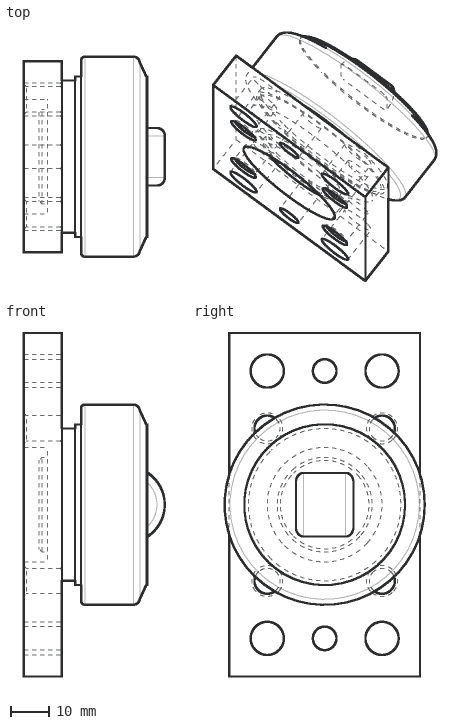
import cadquery as cq
import math

plate_thickness = 10.0
plate_width = 50.0
plate_height = 90.0

hole_column_y = 15.0
outer_row_z = 35.0
inner_row_z = 20.0
mounting_hole_radius = 4.3
dowel_hole_radius = 3.1
threaded_hole_radius = 3.3
threaded_hole_chamfer = 0.7

recess_radius = 15.0
recess_depth = 6.2
stud_radius = 12.4
stud_height = 2.2
stud_chamfer = 0.8

neck_radius = 20.0
neck_length = 3.5
collar_radius = 21.1
collar_length = 1.5
roller_radius = 26.235
roller_length = 17.5
roller_back_fillet = 1.0
roller_shoulder = 13.7
shoulder_length = 1.7
shoulder_drop = 1.4
cone_length = 1.7
cap_radius = 21.1

outer_length = 37.0
side_roller_radius = 10.0
side_roller_width = 15.1
side_roller_fillet = 2.1

collar_x = plate_thickness + neck_length
roller_x = collar_x + collar_length
front_x = roller_x + roller_length


def disc(start_x, radius, length):
    return cq.Workplane("YZ", origin=(start_x, 0, 0)).circle(radius).extrude(length)


def through_holes(points, radius):
    return cq.Workplane("YZ").pushPoints(points).circle(radius).extrude(plate_thickness)


def four_corners(y, z):
    return [(side_y * y, side_z * z) for side_y in (-1, 1) for side_z in (-1, 1)]


def make_plate():
    plate = cq.Workplane("XY").box(plate_thickness, plate_width, plate_height, centered=(False, True, True))
    plate = plate.cut(through_holes(four_corners(hole_column_y, outer_row_z), mounting_hole_radius))
    plate = plate.cut(through_holes([(0, -outer_row_z), (0, outer_row_z)], dowel_hole_radius))
    threaded_points = four_corners(hole_column_y, inner_row_z)
    plate = plate.cut(through_holes(threaded_points, threaded_hole_radius))
    for y, z in threaded_points:
        countersink = cq.Solid.makeCone(
            threaded_hole_radius + threaded_hole_chamfer,
            threaded_hole_radius,
            threaded_hole_chamfer,
            pnt=cq.Vector(0, y, z),
            dir=cq.Vector(1, 0, 0),
        )
        plate = plate.cut(cq.Workplane(obj=countersink))
    plate = plate.cut(disc(0, recess_radius, recess_depth))
    stud = disc(recess_depth - stud_height, stud_radius, stud_height).faces("<X").chamfer(stud_chamfer)
    return plate.union(stud)


def make_roller():
    shoulder_start = roller_x + roller_shoulder
    shoulder_end = shoulder_start + shoulder_length
    cone_end = shoulder_end + cone_length
    back_arc_offset = roller_back_fillet * (1 - math.sqrt(0.5))
    profile = (
        cq.Workplane("XY")
        .moveTo(roller_x, 0)
        .lineTo(roller_x, roller_radius - roller_back_fillet)
        .threePointArc(
            (roller_x + back_arc_offset, roller_radius - back_arc_offset),
            (roller_x + roller_back_fillet, roller_radius),
        )
        .lineTo(shoulder_start, roller_radius)
        .tangentArcPoint((shoulder_end, roller_radius - shoulder_drop), relative=False)
        .lineTo(cone_end, cap_radius)
        .lineTo(front_x, cap_radius)
        .lineTo(front_x, 0)
        .close()
    )
    return profile.revolve(360, (0, 0, 0), (1, 0, 0))


def make_side_roller():
    roller = (
        cq.Workplane("XZ", origin=(outer_length - side_roller_radius, 0, 0))
        .circle(side_roller_radius)
        .extrude(side_roller_width / 2, both=True)
        .edges("%CIRCLE")
        .fillet(side_roller_fillet)
    )
    exposed = disc(front_x, cap_radius, outer_length - front_x)
    return roller.intersect(exposed)


result = (
    make_plate()
    .union(disc(plate_thickness, neck_radius, neck_length))
    .union(disc(collar_x, collar_radius, collar_length))
    .union(make_roller())
    .union(make_side_roller())
)